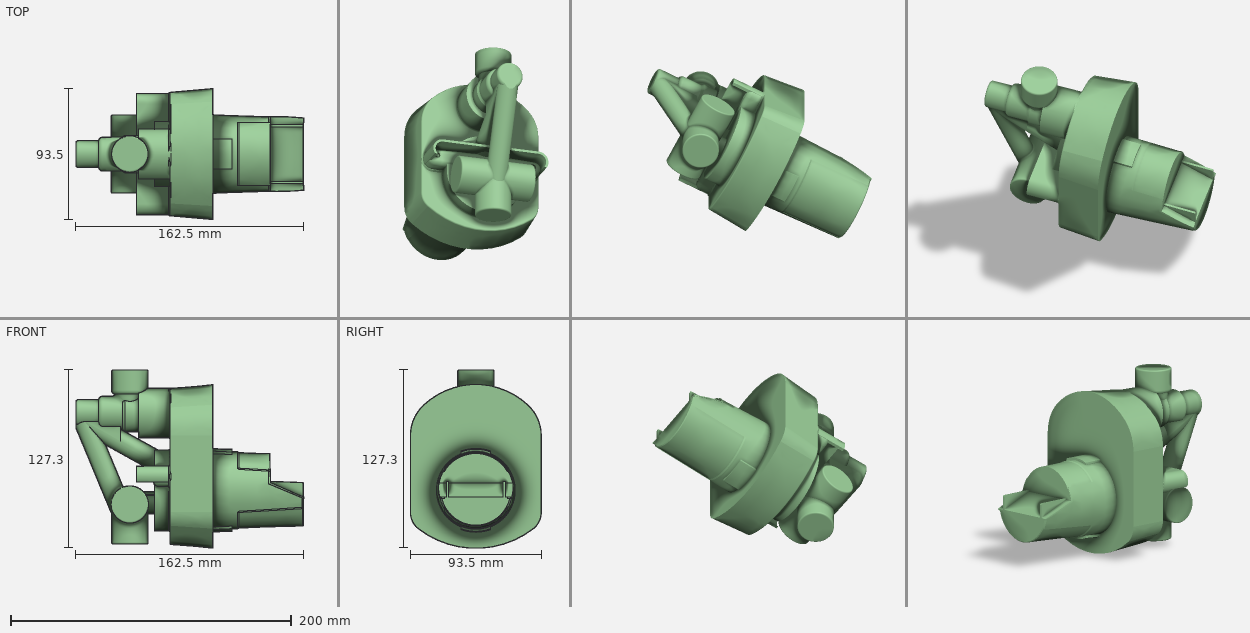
import cadquery as cq
import math


PLATE_FRONT_X = 28.6
PLATE_BACK_X = 59.2
PLATE_DRAFT = 5.0
PLATE_HALF_WIDTH = 46.725
PLATE_TOP_Z = 75.5
PLATE_BOTTOM_Z = -41.4
PLATE_TOP_RADIUS = 54.5
PLATE_TOP_CORNER_RADIUS = 30.0
PLATE_BOTTOM_RADIUS = 67.0
PLATE_BOTTOM_CORNER_RADIUS = 15.0
PLATE_EDGE_FILLET = 1.0
BASE_FILLET = 1.0

BOSS_RADIUS = 28.9
BOSS_FRONT_X = 17.4

VALVE_Z = 55.1
TIP_X = -38.5
STEM_RADIUS = 9.7
STEM_FILLET = 1.9
KNOB_RADIUS = 12.1
KNOB_FRONT_X = -22.3
KNOB_FILLET = 2.9
KNOB_BACK_X = -5.4
COLLAR_RADIUS = 13.4
COLLAR_FRONT_X = -3.6
SLEEVE_RADIUS = 17.8
SLEEVE_FRONT_X = 6.2

PIPE_RADIUS = 13.0
PIPE_EDGE = 1.1
UPPER_PIPE_TOP_Z = 85.86
UPPER_PIPE_SHOULDER_Z = 71.0
NECK_RADIUS = 10.5
NECK_FILLET = 2.5
LOWER_PIPE_BOTTOM_Z = -38.34

TEE_Z = -10.1
TEE_RADIUS = 13.3
TEE_HALF_LENGTH = 27.9
TEE_EDGE = 1.0
TEE_NECK_RADIUS = 6.6
LEDGE_HALF_WIDTH = 11.0
LEDGE_TOP_Z = -0.9
LEDGE_THICKNESS = 2.4
LEDGE_RISE = 2.0

TUBE_RADIUS = 7.5
TUBE_JOINT_X = -32.4
TUBE_JOINT_Z = 49.3
LONG_TUBE_ANGLE = 67.4
LONG_TUBE_OVERRUN = 6.0
LONG_TUBE_LENGTH = 80.0
SHORT_TUBE_ANGLE = 29.0
SHORT_TUBE_LENGTH = 64.0
GUSSET_BACK_X = -6.7

BAR_Z = 9.9
BAR_PIN_SPACING = 72.0
BAR_RADIUS = 7.35
HOOD_WALL = 1.7
HOOD_FRONT_X = 4.7
HOOD_BOTTOM_Z = 5.9
BAR_CORE_Z = 9.0
BAR_CORE_END_SPACING = 74.0
BAR_CORE_END_RADIUS = 5.8
BAR_CORE_MIDDLE_HALF_HEIGHT = 6.8
BAR_CORE_FRONT_X = 17.0
BAR_CORE_FILLET = 3.4
PIN_HOLE_DIAMETER = 4.13
PIN_HOLE_DEPTH = 2.0
PIN_HEX_ACROSS_CORNERS = 2.4

BODY_FRONT_RADIUS = 28.1
BODY_END_X = 123.75
BODY_END_RADIUS = 26.0
BODY_END_CHAMFER = 1.1
RECESS_FRONT_X = 76.6
RECESS_DEPTH = 0.5
RECESS_WALL_LENGTH = 1.1
RECESS_HALF_WIDTH = 22.5
STEP_X = 99.7
RAMP_START_X = 100.4
RAMP_TOP_Z = 5.4
RAMP_BOTTOM_Z = -4.7
LIP_THICKNESS = 1.0
LIP_HEIGHT = 0.25
LIP_END_X = 124.01
LIP_TOP_Z = 15.2
FIN_Y = 20.2
FIN_THICKNESS = 1.6
FIN_FRONT_Z = 6.5
FIN_END_Z = 5.6
FIN_CORNER_RADIUS = 1.0
TAB_RADIUS = 29.9
TAB_END_RADIUS = 29.3
TAB_HALF_WIDTH = 10.6
TAB_END_X = 72.9


def yz_plane(x):
    """Sketch plane across the depth axis."""
    return cq.Workplane("YZ", origin=(x, 0, 0))


def cylinder_x(x_start, x_end, radius, z):
    return yz_plane(x_start).center(0, z).circle(radius).extrude(x_end - x_start)


def cone_x(x_start, x_end, radius_start, radius_end):
    """Cone on the Z = 0 depth axis."""
    profile = [(x_start, 0), (x_start, radius_start), (x_end, radius_end), (x_end, 0)]
    return cq.Workplane("XZ").polyline(profile).close().revolve(360, (0, 0, 0), (1, 0, 0))


def slot_x(x_start, x_end, radius, z):
    """Bar with round ends, its end axes BAR_PIN_SPACING apart in Y."""
    sketch = yz_plane(x_start).center(0, z).slot2D(BAR_PIN_SPACING + 2 * radius, 2 * radius)
    return sketch.extrude(x_end - x_start)


def box(x_range, y_range, z_range):
    sizes = [r[1] - r[0] for r in (x_range, y_range, z_range)]
    return cq.Workplane("XY").box(*sizes, centered=False).translate((x_range[0], y_range[0], z_range[0]))


def corner_arc_points(end_z, end_radius, corner_radius, direction):
    """Points on the right half of one rounded plate end: side tangency, corner middle, arc tangency."""
    center_y = PLATE_HALF_WIDTH - corner_radius
    gap = end_radius - corner_radius
    end_center_z = end_z - direction * end_radius
    corner_z = end_center_z + direction * math.sqrt(gap**2 - center_y**2)
    tangent_angle = math.acos(center_y / gap)

    def on_corner(angle):
        y = center_y + corner_radius * math.cos(angle)
        return (y, corner_z + direction * corner_radius * math.sin(angle))

    return on_corner(0), on_corner(tangent_angle / 2), on_corner(tangent_angle)


def mirror_y(point):
    return (-point[0], point[1])


def plate_outline(workplane):
    """Closed outline of the plate at its larger, rear face."""
    top_side, top_mid, top_end = corner_arc_points(
        PLATE_TOP_Z, PLATE_TOP_RADIUS, PLATE_TOP_CORNER_RADIUS, 1
    )
    low_side, low_mid, low_end = corner_arc_points(
        PLATE_BOTTOM_Z, PLATE_BOTTOM_RADIUS, PLATE_BOTTOM_CORNER_RADIUS, -1
    )
    return (
        workplane.moveTo(*low_side)
        .lineTo(*top_side)
        .threePointArc(top_mid, top_end)
        .threePointArc((0, PLATE_TOP_Z), mirror_y(top_end))
        .threePointArc(mirror_y(top_mid), mirror_y(top_side))
        .lineTo(*mirror_y(low_side))
        .threePointArc(mirror_y(low_mid), mirror_y(low_end))
        .threePointArc((0, PLATE_BOTTOM_Z), low_end)
        .threePointArc(low_mid, low_side)
        .close()
    )


def wall_plate():
    rear_plane = cq.Plane(origin=(PLATE_BACK_X, 0, 0), xDir=(0, -1, 0), normal=(-1, 0, 0))
    depth = PLATE_BACK_X - PLATE_FRONT_X
    plate = plate_outline(cq.Workplane(rear_plane)).extrude(depth, taper=PLATE_DRAFT)
    return plate.faces("<X").edges().fillet(PLATE_EDGE_FILLET)


def base_flare(radius, z):
    """Concave ring that blends a round boss into the plate front."""
    start_x = PLATE_FRONT_X - BASE_FILLET
    bend = BASE_FILLET * math.sqrt(0.5)
    return (
        cq.Workplane("XZ")
        .moveTo(start_x, z)
        .lineTo(start_x, z + radius)
        .threePointArc(
            (start_x + bend, z + radius + BASE_FILLET - bend),
            (PLATE_FRONT_X, z + radius + BASE_FILLET),
        )
        .lineTo(PLATE_FRONT_X + BASE_FILLET, z + radius + BASE_FILLET)
        .lineTo(PLATE_FRONT_X + BASE_FILLET, z)
        .close()
        .revolve(360, (0, z, 0), (1, z, 0))
    )


def flare_limit():
    """Prism of the plate's front outline that keeps the flares on the plate."""
    inset = (PLATE_BACK_X - PLATE_FRONT_X) * math.tan(math.radians(PLATE_DRAFT))
    outline = plate_outline(yz_plane(PLATE_FRONT_X - BASE_FILLET)).offset2D(-inset)
    return outline.extrude(2 * BASE_FILLET)


def round_boss():
    root_x = PLATE_FRONT_X + BASE_FILLET
    boss = cylinder_x(BOSS_FRONT_X, root_x, BOSS_RADIUS, 0)
    boss = boss.cut(slot_x(BOSS_FRONT_X, PLATE_FRONT_X, BAR_RADIUS - HOOD_WALL, BAR_Z))
    return boss.union(base_flare(BOSS_RADIUS, 0).intersect(flare_limit()))


def stem():
    """Front end of the valve, joined to the long tube and cut flat at the tip."""
    rod = cylinder_x(TIP_X, KNOB_FRONT_X + KNOB_FILLET, STEM_RADIUS, VALVE_Z)
    rod = rod.faces("<X").edges().fillet(STEM_FILLET)
    rod = rod.union(slanting_tube(LONG_TUBE_ANGLE, LONG_TUBE_OVERRUN, LONG_TUBE_LENGTH))
    reach = 2 * LONG_TUBE_LENGTH
    return rod.intersect(box((TIP_X, TIP_X + reach), (-reach, reach), (-reach, reach)))


def upper_valve():
    knob = cylinder_x(KNOB_FRONT_X, PLATE_FRONT_X, KNOB_RADIUS, VALVE_Z)
    knob = knob.faces("<X").edges().fillet(KNOB_FILLET)
    saddle = cq.selectors.BoxSelector(
        (-NECK_RADIUS, -NECK_RADIUS, VALVE_Z),
        (NECK_RADIUS, NECK_RADIUS, VALVE_Z + KNOB_RADIUS),
    )
    knob = knob.union(upper_pipe())
    knob = knob.edges(saddle).fillet(NECK_FILLET)

    cone_length = COLLAR_FRONT_X - KNOB_BACK_X
    cone = (
        yz_plane(KNOB_BACK_X)
        .center(0, VALVE_Z)
        .circle(KNOB_RADIUS)
        .workplane(offset=cone_length)
        .circle(COLLAR_RADIUS)
        .loft()
    )
    collar = cylinder_x(COLLAR_FRONT_X, SLEEVE_FRONT_X, COLLAR_RADIUS, VALVE_Z)
    sleeve = cylinder_x(SLEEVE_FRONT_X, PLATE_FRONT_X + BASE_FILLET, SLEEVE_RADIUS, VALVE_Z)
    flare = base_flare(SLEEVE_RADIUS, VALVE_Z).intersect(flare_limit())
    return knob.union(cone).union(collar).union(sleeve).union(flare)


def upper_pipe():
    """Upward connection with a rounded shoulder that narrows to a neck on the valve."""
    shoulder = PIPE_RADIUS - NECK_RADIUS
    bend = shoulder * math.sqrt(0.5)
    return (
        cq.Workplane("XZ")
        .moveTo(0, VALVE_Z)
        .lineTo(NECK_RADIUS, VALVE_Z)
        .lineTo(NECK_RADIUS, UPPER_PIPE_SHOULDER_Z - shoulder)
        .threePointArc(
            (NECK_RADIUS + bend, UPPER_PIPE_SHOULDER_Z - bend),
            (PIPE_RADIUS, UPPER_PIPE_SHOULDER_Z),
        )
        .lineTo(PIPE_RADIUS, UPPER_PIPE_TOP_Z)
        .lineTo(0, UPPER_PIPE_TOP_Z)
        .close()
        .revolve(360, (0, 0, 0), (0, 1, 0))
        .faces(">Z")
        .edges()
        .fillet(PIPE_EDGE)
    )


def lower_tee():
    pipe = (
        cq.Workplane("XY", origin=(0, 0, LOWER_PIPE_BOTTOM_Z))
        .circle(PIPE_RADIUS)
        .extrude(TEE_Z - LOWER_PIPE_BOTTOM_Z)
        .faces("<Z")
        .edges()
        .fillet(PIPE_EDGE)
    )
    barrel = (
        cq.Workplane("XZ", origin=(0, TEE_HALF_LENGTH, TEE_Z))
        .circle(TEE_RADIUS)
        .extrude(2 * TEE_HALF_LENGTH)
        .faces("|Y")
        .edges()
        .fillet(TEE_EDGE)
    )
    tube_side = cq.selectors.BoxSelector(
        (-TEE_RADIUS, -TUBE_RADIUS, TEE_Z - TEE_RADIUS),
        (0, TUBE_RADIUS, TEE_Z + TEE_RADIUS),
    )
    barrel = barrel.union(slanting_tube(LONG_TUBE_ANGLE, -TUBE_RADIUS, LONG_TUBE_LENGTH))
    barrel = barrel.edges(tube_side).fillet(TEE_EDGE)
    neck = cylinder_x(0, BOSS_FRONT_X, TEE_NECK_RADIUS, TEE_Z)
    ledge_bottom_z = LEDGE_TOP_Z - LEDGE_THICKNESS
    ledge_side_z = LEDGE_TOP_Z - LEDGE_RISE
    ledge = (
        yz_plane(0)
        .moveTo(-LEDGE_HALF_WIDTH, ledge_bottom_z)
        .lineTo(-LEDGE_HALF_WIDTH, ledge_side_z)
        .threePointArc((0, LEDGE_TOP_Z), (LEDGE_HALF_WIDTH, ledge_side_z))
        .lineTo(LEDGE_HALF_WIDTH, ledge_bottom_z)
        .close()
        .extrude(BOSS_FRONT_X)
    )
    return barrel.union(pipe).union(neck).union(ledge)


def slanting_tube(angle, overrun, length):
    """Tube in the symmetry plane, running down and back from the tube joint."""
    slope = math.radians(angle)
    direction = cq.Vector(math.cos(slope), 0, -math.sin(slope))
    start = cq.Vector(TUBE_JOINT_X, 0, TUBE_JOINT_Z) - direction * overrun
    return cq.Workplane(cq.Solid.makeCylinder(TUBE_RADIUS, overrun + length, start, direction))


def gusset():
    """Web between the short tube's axis and the knob, as wide as the tube."""
    drop = (GUSSET_BACK_X - TUBE_JOINT_X) * math.tan(math.radians(SHORT_TUBE_ANGLE))
    return (
        cq.Workplane("XZ", origin=(0, TUBE_RADIUS, 0))
        .moveTo(TUBE_JOINT_X, TUBE_JOINT_Z)
        .lineTo(GUSSET_BACK_X, TUBE_JOINT_Z - drop)
        .lineTo(GUSSET_BACK_X, VALVE_Z)
        .lineTo(TUBE_JOINT_X, VALVE_Z)
        .close()
        .extrude(2 * TUBE_RADIUS)
    )


def bar_core(root_x):
    """Lens-shaped bar inside the hood: round ends that run smoothly into bulging long sides."""
    half = BAR_CORE_END_SPACING / 2
    end = BAR_CORE_END_RADIUS
    middle = BAR_CORE_MIDDLE_HALF_HEIGHT
    side_radius = (half**2 + middle**2 - end**2) / (2 * (middle - end))
    lean = math.asin(half / (side_radius - end))
    tangent_y = half + end * math.sin(lean)
    tangent_z = end * math.cos(lean)
    core = (
        yz_plane(BAR_CORE_FRONT_X)
        .center(0, BAR_CORE_Z)
        .moveTo(-tangent_y, tangent_z)
        .threePointArc((0, middle), (tangent_y, tangent_z))
        .threePointArc((half + end, 0), (tangent_y, -tangent_z))
        .threePointArc((0, -middle), (-tangent_y, -tangent_z))
        .threePointArc((-half - end, 0), (-tangent_y, tangent_z))
        .close()
        .extrude(root_x - BAR_CORE_FRONT_X)
    )
    return core.faces("<X").edges().fillet(BAR_CORE_FILLET)


def hooded_bar():
    """Rounded bar under a thin hood that wraps its top and both ends."""
    root_x = PLATE_FRONT_X + BASE_FILLET
    cavity = slot_x(HOOD_FRONT_X, root_x, BAR_RADIUS - HOOD_WALL, BAR_Z)
    hood = slot_x(HOOD_FRONT_X, root_x, BAR_RADIUS, BAR_Z).cut(cavity)
    span = BAR_PIN_SPACING / 2 + 2 * BAR_RADIUS
    hood = hood.cut(box((HOOD_FRONT_X, root_x), (-span, span), (BAR_Z - 2 * BAR_RADIUS, HOOD_BOTTOM_Z)))
    base = slot_x(PLATE_FRONT_X - BASE_FILLET, root_x, BAR_RADIUS + BASE_FILLET, BAR_Z)
    base = base.faces("<X").edges().chamfer(BASE_FILLET)
    return hood.union(bar_core(root_x)).union(base.intersect(flare_limit()))


def pin_holes():
    """Ring-shaped recess around a hexagonal pin near each end of the bar."""
    half = BAR_PIN_SPACING / 2
    centers = yz_plane(BAR_CORE_FRONT_X).pushPoints([(-half, BAR_Z), (half, BAR_Z)])
    holes = centers.circle(PIN_HOLE_DIAMETER / 2).extrude(PIN_HOLE_DEPTH)
    return holes.cut(centers.polygon(6, PIN_HEX_ACROSS_CORNERS).extrude(PIN_HOLE_DEPTH))


def body_radius(x):
    slope = (BODY_END_RADIUS - BODY_FRONT_RADIUS) / (BODY_END_X - PLATE_BACK_X)
    return BODY_FRONT_RADIUS + slope * (x - PLATE_BACK_X)


def body_cone(offset, x_start, x_end):
    """Solid cone parallel to the body surface, grown outward by offset."""
    return cone_x(x_start, x_end, body_radius(x_start) + offset, body_radius(x_end) + offset)


def ramp_z(x):
    slope = (RAMP_BOTTOM_Z - RAMP_TOP_Z) / (BODY_END_X - RAMP_START_X)
    return RAMP_TOP_Z + slope * (x - RAMP_START_X)


def prism_y(points, y_start, y_end):
    """Prism of an XZ polygon between two Y positions."""
    return cq.Workplane("XZ", origin=(0, y_end, 0)).polyline(points).close().extrude(y_end - y_start)


def lip():
    """Low raised edge that follows the step and the ramp on both flanks."""
    low_z = ramp_z(STEP_X) - LIP_THICKNESS
    points = [
        (STEP_X - LIP_THICKNESS, LIP_TOP_Z),
        (STEP_X, LIP_TOP_Z),
        (RAMP_START_X, RAMP_TOP_Z),
        (LIP_END_X, ramp_z(LIP_END_X)),
        (LIP_END_X, ramp_z(LIP_END_X) - LIP_THICKNESS),
        (STEP_X - LIP_THICKNESS, low_z),
    ]
    reach = BODY_FRONT_RADIUS
    band = prism_y(points, -reach, reach)
    band = band.cut(prism_y(points, -RECESS_HALF_WIDTH, RECESS_HALF_WIDTH))
    return band.intersect(body_cone(LIP_HEIGHT, STEP_X - LIP_THICKNESS, LIP_END_X))


def fin(center_y):
    points = [
        (STEP_X - LIP_THICKNESS, ramp_z(STEP_X) - LIP_THICKNESS),
        (STEP_X - LIP_THICKNESS, FIN_FRONT_Z),
        (BODY_END_X, FIN_END_Z),
        (BODY_END_X, ramp_z(BODY_END_X) - LIP_THICKNESS),
    ]
    plate = prism_y(points, center_y - FIN_THICKNESS / 2, center_y + FIN_THICKNESS / 2)
    top_corner = cq.selectors.NearestToPointSelector((BODY_END_X, center_y, FIN_END_Z))
    return plate.edges("|Y").edges(top_corner).fillet(FIN_CORNER_RADIUS)


def tab_ring():
    """Tabs on top of and below the body, just behind the plate."""
    ring = cone_x(PLATE_BACK_X, TAB_END_X, TAB_RADIUS, TAB_END_RADIUS)
    return ring.intersect(
        box(
            (PLATE_BACK_X, TAB_END_X),
            (-TAB_HALF_WIDTH, TAB_HALF_WIDTH),
            (-TAB_RADIUS, TAB_RADIUS),
        )
    )


def recess_floor():
    """Solid left inside the recesses: a sloping front wall, then a floor below the body surface."""
    wall_end_x = RECESS_FRONT_X + RECESS_WALL_LENGTH
    wall = cone_x(
        RECESS_FRONT_X,
        wall_end_x,
        body_radius(RECESS_FRONT_X),
        body_radius(wall_end_x) - RECESS_DEPTH,
    )
    front = body_cone(0, PLATE_BACK_X, RECESS_FRONT_X)
    return front.union(wall).union(body_cone(-RECESS_DEPTH, wall_end_x, BODY_END_X))


def rear_body():
    body = body_cone(0, PLATE_BACK_X, BODY_END_X).faces(">X").edges().chamfer(BODY_END_CHAMFER)
    skin = body.cut(recess_floor())
    recess = box(
        (RECESS_FRONT_X, BODY_END_X),
        (-RECESS_HALF_WIDTH, RECESS_HALF_WIDTH),
        (-BODY_FRONT_RADIUS, BODY_FRONT_RADIUS),
    )
    body = body.cut(skin.intersect(recess))
    above_ramp = [
        (RAMP_START_X, RAMP_TOP_Z),
        (STEP_X, BODY_FRONT_RADIUS),
        (LIP_END_X, BODY_FRONT_RADIUS),
        (LIP_END_X, ramp_z(LIP_END_X)),
    ]
    body = body.cut(prism_y(above_ramp, -BODY_FRONT_RADIUS, BODY_FRONT_RADIUS))
    body = body.union(lip()).union(tab_ring())
    for side in (-1, 1):
        body = body.union(fin(side * FIN_Y))
    return body


result = (
    wall_plate()
    .union(round_boss())
    .union(rear_body())
    .union(upper_valve())
    .union(stem())
    .union(lower_tee())
    .union(slanting_tube(SHORT_TUBE_ANGLE, 0, SHORT_TUBE_LENGTH))
    .union(gusset())
    .union(hooded_bar())
    .cut(pin_holes())
)